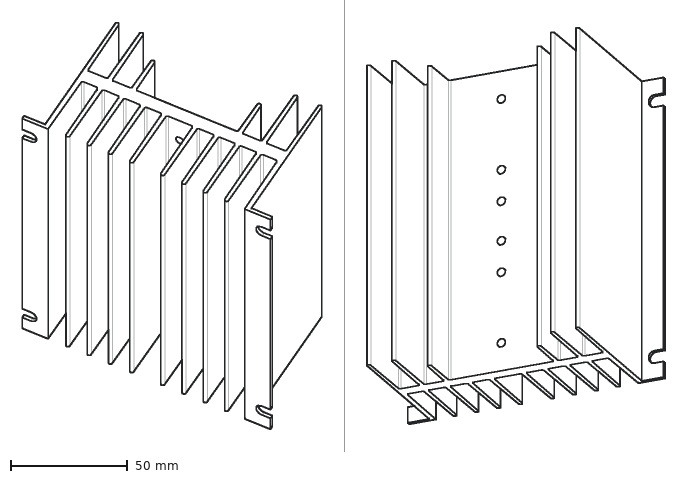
import cadquery as cq
import math

LENGTH = 139.7
WIDTH = 120.7
DEPTH = 66.8

BODY_WIDTH = 100.3
FLANGE_THICKNESS = 1.8
WEB_FRONT = 30.6
WEB_BACK = 37.0
ROOT_FILLET = 0.8

WALL_FRONT_TIP = 2.4
WALL_FRONT_ROOT = 2.7
WALL_BACK_ROOT = 2.0
WALL_BACK_TIP = 1.7

FRONT_FIN_FIRST = 7.5
FRONT_FIN_PITCH = 10.3
FRONT_FINS_PER_SIDE = 4

SHORT_FIN_X = 25.8
TALL_FIN_X = 37.5
SHORT_FIN_END = 55.3

FIN_ROOT = 2.2
FIN_TIP = 1.8

HOLE_DIAMETER = 3.8
HOLE_HEIGHTS = (9.2, 23.9, 56.9)
SLOT_WIDTH = 5.7
SLOT_DEPTH = 7.0
SLOT_HEIGHT = 59.7


def extrude_outline(outline):
    """Extrude a closed XY outline from the bottom end to the top end."""
    return outline.close().extrude(LENGTH)


def outline_start(x, y):
    """Start an XY outline at the bottom end of the profile."""
    return cq.Workplane("XY", origin=(0, 0, -LENGTH / 2)).moveTo(x, y)


def fin(x, root_y, tip_y):
    """Tapered fin centred on x, running from the web face to a full-round tip."""
    tip_radius = FIN_TIP / 2
    shoulder_y = tip_y - math.copysign(tip_radius, tip_y - root_y)
    outline = (
        outline_start(x - FIN_ROOT / 2, root_y)
        .lineTo(x + FIN_ROOT / 2, root_y)
        .lineTo(x + tip_radius, shoulder_y)
        .threePointArc((x, tip_y), (x - tip_radius, shoulder_y))
    )
    return extrude_outline(outline)


def web_and_side_walls():
    """Web joining two tapered side walls, with an outward flange on each wall."""
    outer = BODY_WIDTH / 2
    tip_radius = WALL_BACK_TIP / 2
    shoulder_y = DEPTH - tip_radius
    outline = (
        outline_start(0, WEB_FRONT)
        .lineTo(outer - WALL_FRONT_ROOT, WEB_FRONT)
        .lineTo(outer - WALL_FRONT_TIP, 0)
        .lineTo(WIDTH / 2, 0)
        .lineTo(WIDTH / 2, FLANGE_THICKNESS)
        .lineTo(outer, FLANGE_THICKNESS)
        .lineTo(outer, shoulder_y)
        .threePointArc((outer - tip_radius, DEPTH), (outer - WALL_BACK_TIP, shoulder_y))
        .lineTo(outer - WALL_BACK_ROOT, WEB_BACK)
        .lineTo(0, WEB_BACK)
    )
    half = extrude_outline(outline)
    return half.union(half.mirror("YZ")).clean()


def round_fin_roots(body):
    """Fillet every inside corner where a fin or wall meets the web faces."""
    span = BODY_WIDTH / 2 - WALL_BACK_ROOT / 2
    tolerance = 0.1
    for face_y in (WEB_FRONT, WEB_BACK):
        selector = cq.selectors.BoxSelector(
            (-span, face_y - tolerance, -LENGTH),
            (span, face_y + tolerance, LENGTH),
        )
        body = body.edges("|Z").edges(selector).fillet(ROOT_FILLET)
    return body


def web_holes():
    """Row of holes along the centre line, symmetric about Z = 0."""
    points = [(0, side * height) for height in HOLE_HEIGHTS for side in (-1, 1)]
    return cq.Workplane("XZ").pushPoints(points).circle(HOLE_DIAMETER / 2).extrude(-DEPTH)


def flange_slots():
    """Round-ended slots open to the outer edges of both flanges."""
    points = [(x, z) for x in (-WIDTH / 2, WIDTH / 2) for z in (-SLOT_HEIGHT, SLOT_HEIGHT)]
    sketch = cq.Workplane("XZ").pushPoints(points).slot2D(2 * SLOT_DEPTH, SLOT_WIDTH)
    return sketch.extrude(-FLANGE_THICKNESS)


result = web_and_side_walls()
for side in (-1, 1):
    for index in range(FRONT_FINS_PER_SIDE):
        fin_x = FRONT_FIN_FIRST + index * FRONT_FIN_PITCH
        result = result.union(fin(side * fin_x, WEB_FRONT, 0))
    result = result.union(fin(side * SHORT_FIN_X, WEB_BACK, SHORT_FIN_END))
    result = result.union(fin(side * TALL_FIN_X, WEB_BACK, DEPTH))

result = round_fin_roots(result)
result = result.cut(web_holes()).cut(flange_slots())